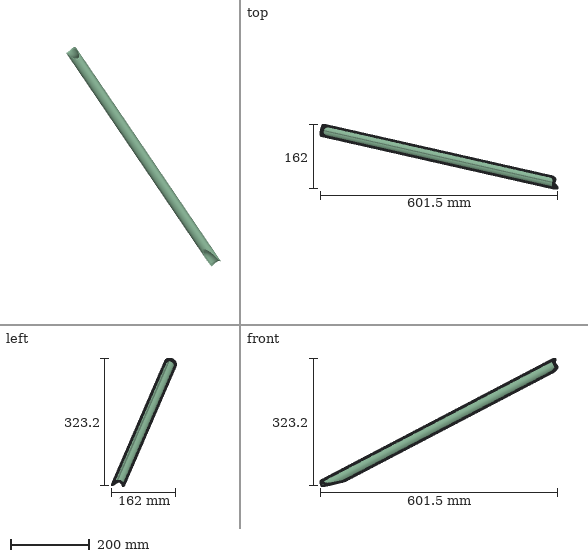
import cadquery as cq
import math


RUN = cq.Vector(601, -135.95, 314.6)
TUBE_RADIUS = 14.24
WALL = 2.1

LOWER_RADIUS = 14.45
LOWER_HEADING = -10.5
LOWER_CLIMB = -0.5
UPPER_RADIUS = 15.2
UPPER_HEADING = -71.4
UPPER_CLIMB = 48.8

CUTTER_REACH = 100.0


def direction(heading, climb):
    """Unit vector at a heading about Z and a climb above the XY plane, in degrees."""
    flat = math.cos(math.radians(climb))
    return cq.Vector(
        flat * math.cos(math.radians(heading)),
        flat * math.sin(math.radians(heading)),
        math.sin(math.radians(climb)),
    )


def split_circle(sketch, radius):
    """Circle made of two arcs that meet in the vertical plane through the tube axis."""
    return (
        sketch.moveTo(0, radius)
        .threePointArc((radius, 0), (0, -radius))
        .threePointArc((-radius, 0), (0, radius))
        .close()
    )


def tube():
    """Straight tube from joint to joint, each wall face in two lengthwise halves."""
    sideways = cq.Vector(0, 0, 1).cross(RUN)
    sketch = cq.Workplane(cq.Plane(origin=(0, 0, 0), xDir=sideways, normal=RUN))
    for radius in (TUBE_RADIUS, TUBE_RADIUS - WALL):
        sketch = split_circle(sketch, radius)
    return sketch.extrude(RUN.Length, clean=False)


def cope_cutter(joint, axis, radius):
    """Cylinder filling the space of a neighbouring tube that passes through a joint."""
    start = joint - axis * CUTTER_REACH
    return cq.Workplane(cq.Solid.makeCylinder(radius, 2 * CUTTER_REACH, start, axis))


lower_cutter = cope_cutter(cq.Vector(0, 0, 0), direction(LOWER_HEADING, LOWER_CLIMB), LOWER_RADIUS)
upper_cutter = cope_cutter(RUN, direction(UPPER_HEADING, UPPER_CLIMB), UPPER_RADIUS)

result = tube().cut(lower_cutter, clean=False).cut(upper_cutter, clean=False)